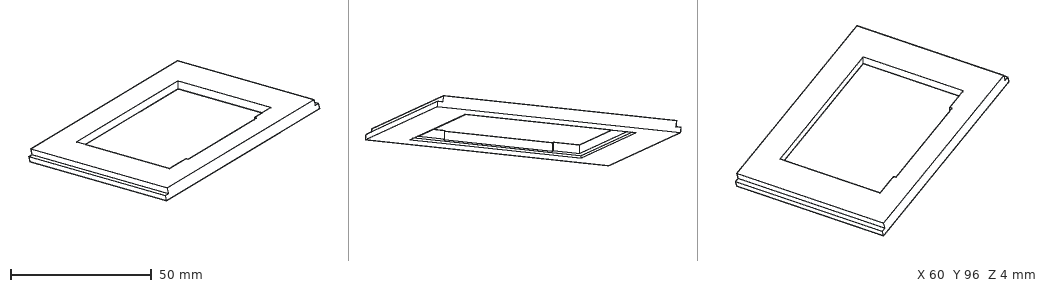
import cadquery as cq

length = 96.0
overall_width = 60.0
thickness = 4.0

slant = 1.1
face_width = overall_width - slant

ledge_depth = 2.0
ledge_thickness = 1.9

window_margin = 10.0
window_width = 40.1
window_length = 63.5
notch_depth = 1.0
notch_length = 42.9

seat_depth = 0.9
seat_margin = 2.0

top_left = -overall_width / 2
bottom_left = top_left + slant
window_left = top_left + window_margin


def slanted_plate():
    """Plate with a parallelogram cross-section, its base on Z = 0."""
    cross_section = [
        (bottom_left, 0),
        (bottom_left + face_width, 0),
        (top_left + face_width, thickness),
        (top_left, thickness),
    ]
    return cq.Workplane("XZ").polyline(cross_section).close().extrude(length / 2, both=True)


def ledge_cutter(side):
    """Block above the ledge at the short end on the given side (+1 or -1) of Y."""
    height = thickness - ledge_thickness
    center_y = side * (length - ledge_depth) / 2
    return (
        cq.Workplane("XY", origin=(0, center_y, ledge_thickness))
        .box(overall_width, ledge_depth, height, centered=(True, True, False))
    )


def window_cutter(width, opening_length):
    """Block through the plate that starts at the left edge of the window."""
    return (
        cq.Workplane("XY", origin=(window_left, 0, 0))
        .box(width, opening_length, thickness, centered=(False, True, False))
    )


def seat_cutter():
    """Block below the window that reaches past its edges by the seat margin."""
    seat_width = window_width + notch_depth + 2 * seat_margin
    seat_length = window_length + 2 * seat_margin
    return (
        cq.Workplane("XY", origin=(window_left - seat_margin, 0, 0))
        .box(seat_width, seat_length, seat_depth, centered=(False, True, False))
    )


result = slanted_plate()
for side in (-1, 1):
    result = result.cut(ledge_cutter(side))
result = result.cut(window_cutter(window_width, window_length))
result = result.cut(window_cutter(window_width + notch_depth, notch_length))
result = result.cut(seat_cutter())